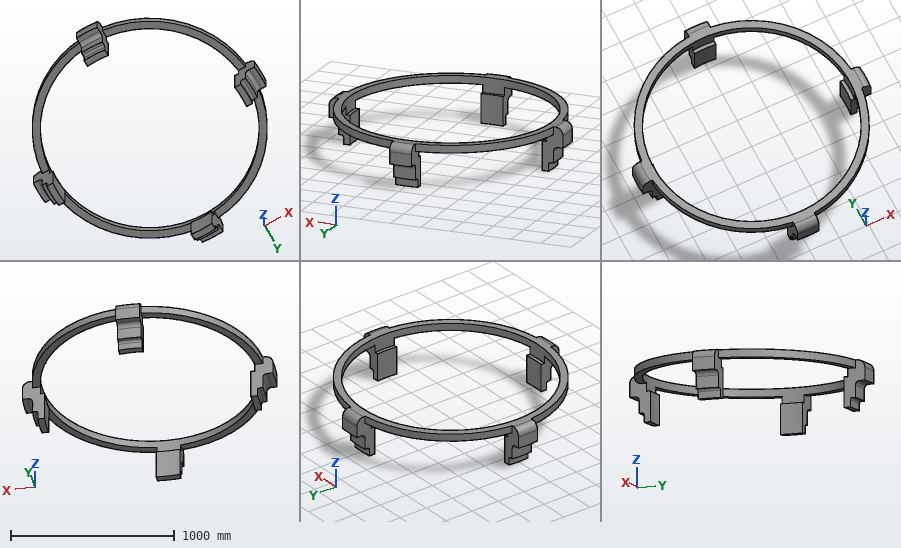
import cadquery as cq

outer_radius = 780.0
height = 290.0

ring_inner_radius = 667.0
ring_width = 50.0
ring_thickness = 50.0
ring_outer_radius = ring_inner_radius + ring_width
seam_angle = 45.0

bracket_count = 4
bracket_width = 147.0
pad_inner_radius = 642.0
pad_top_depth = 100.0
overhang_depth = 130.0
lower_step_depth = 232.0
foot_outer_radius = 685.0
top_edge_radius = 50.0
overhang_fillet = 28.0
lower_step_fillet = 14.0


def make_bracket_band():
    """Full turn of the bracket section, drawn as radius against Z."""
    section = (
        cq.Workplane("XZ")
        .moveTo(ring_inner_radius, 0)
        .lineTo(outer_radius - top_edge_radius, 0)
        .radiusArc((outer_radius, -top_edge_radius), top_edge_radius)
        .lineTo(outer_radius, -overhang_depth)
        .lineTo(ring_outer_radius + overhang_fillet, -overhang_depth)
        .radiusArc((ring_outer_radius, -overhang_depth - overhang_fillet), -overhang_fillet)
        .lineTo(ring_outer_radius, -lower_step_depth)
        .lineTo(foot_outer_radius + lower_step_fillet, -lower_step_depth)
        .radiusArc((foot_outer_radius, -lower_step_depth - lower_step_fillet), -lower_step_fillet)
        .lineTo(foot_outer_radius, -height)
        .lineTo(pad_inner_radius, -height)
        .lineTo(pad_inner_radius, -pad_top_depth)
        .lineTo(ring_inner_radius, -pad_top_depth)
        .close()
    )
    band = section.revolve(360, (0, 0, 0), (0, 1, 0))
    return band.rotate((0, 0, 0), (0, 0, 1), seam_angle)


def make_gap_cutter():
    """Quadrant between the +X and +Y brackets, leaving out the ring itself."""
    quadrant = (
        cq.Workplane("XY")
        .box(2 * outer_radius, 2 * outer_radius, 4 * height, centered=(False, False, True))
        .translate((bracket_width / 2, bracket_width / 2, 0))
    )
    ring_zone = cq.Workplane("XY").workplane(offset=-ring_thickness).circle(ring_outer_radius)
    return quadrant.cut(ring_zone.extrude(4 * height))


result = make_bracket_band()
gap_cutter = make_gap_cutter()
for index in range(bracket_count):
    angle = index * 360 / bracket_count
    result = result.cut(gap_cutter.rotate((0, 0, 0), (0, 0, 1), angle))